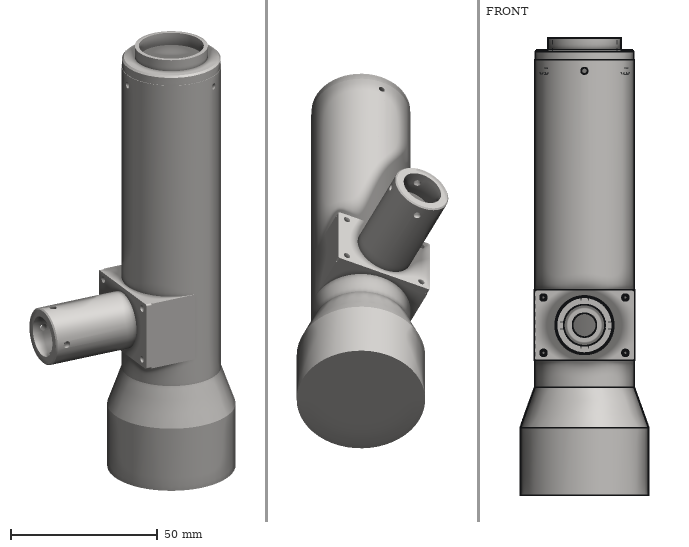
import cadquery as cq

total_height = 156.5
total_depth = 72.0
base_diameter = 44.0
base_radius = base_diameter / 2
base_height = 23.2
cone_top = 37.0
body_radius = 17.0
body_top = 149.0
cap_radius = 16.9
cap_top = 152.4
cap_chamfer = 0.6
ring_radius = 12.5
recess_radius = 11.1
recess_depth = 4.5

block_width = 34.5
block_height = 24.1
block_front = 19.0
plate_thickness = 2.0
plate_corner_radius = 0.6
screw_spacing_x = 28.0
screw_spacing_z = 19.0
screw_diameter = 2.3
screw_bottom_diameter = 1.4
screw_depth = 2.0

tube_z = 58.2
tube_end = total_depth - base_radius
tube_radius = 10.0
tube_chamfer = 0.5
bore_radius = 7.0
bore_depth = 8.9
inner_bore_radius = 4.0

body_pin_diameter = 2.2
body_pin_z = 145.2
body_pin_depth = 2.0
body_pin_count = 3
tube_pin_diameter = 2.5
tube_pin_inset = 4.0


def front_plane(distance):
    """Plane at the given distance in front of the axis, facing -Y, centred on the tube."""
    return cq.Workplane("XZ", origin=(0, -distance, tube_z))


def make_barrel():
    profile = [
        (0, 0),
        (base_radius, 0),
        (base_radius, base_height),
        (body_radius, cone_top),
        (body_radius, body_top),
        (cap_radius, body_top),
        (cap_radius, cap_top - cap_chamfer),
        (cap_radius - cap_chamfer, cap_top),
        (ring_radius, cap_top),
        (ring_radius, total_height),
        (recess_radius, total_height),
        (recess_radius, total_height - recess_depth),
        (0, total_height - recess_depth),
    ]
    return cq.Workplane("XZ").polyline(profile).close().revolve(360, (0, 0), (0, 1))


def make_block():
    plate_back = block_front - plate_thickness
    block = front_plane(0).rect(block_width, block_height).extrude(plate_back)
    plate = front_plane(plate_back).rect(block_width, block_height).extrude(plate_thickness)
    plate = plate.edges("|Y").fillet(plate_corner_radius)
    return block.union(plate)


def make_tube():
    tube = front_plane(0).circle(tube_radius).extrude(tube_end)
    return tube.faces("<Y").chamfer(tube_chamfer)


def tapered_hole(location):
    """Blind hole narrowing from the plate face towards its bottom, running along local -Z."""
    hole = cq.Solid.makeCone(
        screw_diameter / 2, screw_bottom_diameter / 2, screw_depth, dir=cq.Vector(0, 0, -1)
    )
    return hole.moved(location)


def make_screw_holes():
    return (
        front_plane(block_front)
        .rect(screw_spacing_x, screw_spacing_z, forConstruction=True)
        .vertices()
        .eachpoint(tapered_hole, useLocalCoordinates=True)
    )


def make_tube_bores():
    bore = front_plane(tube_end).circle(bore_radius).extrude(-bore_depth)
    inner_bore = front_plane(0).circle(inner_bore_radius).extrude(tube_end)
    return bore.union(inner_bore)


def make_tube_pin_holes():
    y = tube_pin_inset - tube_end
    upright = cq.Workplane("XY", origin=(0, y, tube_z)).circle(tube_pin_diameter / 2)
    sideways = cq.Workplane("YZ", origin=(0, y, tube_z)).circle(tube_pin_diameter / 2)
    return upright.extrude(tube_radius, both=True).union(sideways.extrude(tube_radius, both=True))


def make_body_pin_holes():
    front_hole = (
        cq.Workplane("XZ", origin=(0, -body_radius, body_pin_z))
        .circle(body_pin_diameter / 2)
        .extrude(-body_pin_depth)
    )
    holes = front_hole
    for i in range(1, body_pin_count):
        holes = holes.union(front_hole.rotate((0, 0, 0), (0, 0, 1), i * 360 / body_pin_count))
    return holes


side_arm = make_block().union(make_tube()).cut(make_tube_bores())
side_arm = side_arm.cut(make_tube_pin_holes()).cut(make_screw_holes())
result = make_barrel().cut(make_body_pin_holes()).union(side_arm)